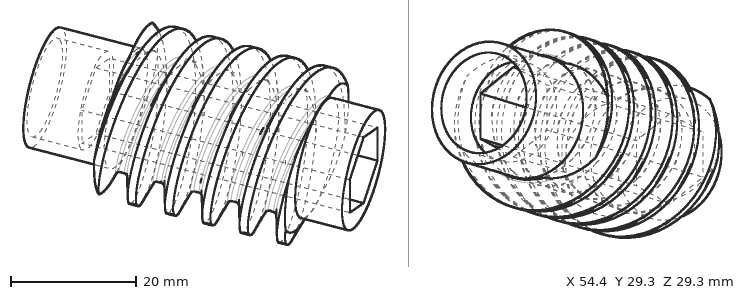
import cadquery as cq
import math

total_length = 54.35
shaft_radius = 9.95
bore_radius = 8.15
bore_depth = 8.7
hex_across_flats = 12.7

thread_start = 13.8
thread_length = 32.55
thread_diameter = 29.3
thread_radius = thread_diameter / 2
root_radius = 10.1
thread_pitch = 6.35
thread_starts = 2
crest_width = 1.4
crest_position = 30.15
flank_angle = 20.0
root_fillet = 0.55
curve_steps = 8

flank_slope = math.tan(math.radians(flank_angle))
lead = thread_starts * thread_pitch
hex_across_corners = hex_across_flats / math.cos(math.radians(30))


def x_cylinder(radius, start, length):
    return cq.Workplane("YZ", origin=(start, 0, 0)).circle(radius).extrude(length)


def on_section(radius, axial_offset):
    """Point of the cross-section that lies axial_offset along the helix from a groove centre."""
    angle = 2 * math.pi * axial_offset / lead
    return (radius * math.cos(angle), radius * math.sin(angle))


def thread_section():
    """Cross-section of the thread, with its first groove centred on the local X axis."""
    crest_gap = (thread_pitch - crest_width) / 2
    root_half = crest_gap - (thread_radius - root_radius) * flank_slope

    turn = math.radians(90 - flank_angle)
    flat_half = root_half - root_fillet * math.tan(turn / 2)
    flank_half = flat_half + root_fillet * math.sin(turn)
    flank_radius = root_radius + root_fillet * (1 - math.cos(turn))

    def fillet(t):
        offset = flat_half + root_fillet * math.sin(t * turn)
        return on_section(root_radius + root_fillet * (1 - math.cos(t * turn)), offset)

    def flank(t):
        radius = flank_radius + t * (thread_radius - flank_radius)
        return on_section(radius, flank_half + t * (crest_gap - flank_half))

    def edge(curve, side, groove_angle):
        """Spline edge on one side (+1 or -1) of a groove."""
        points = []
        for step in range(curve_steps + 1):
            x, y = curve(step / curve_steps)
            points.append(cq.Vector(x, side * y))
        return cq.Edge.makeSpline(points).rotate(cq.Vector(), cq.Vector(0, 0, 1), groove_angle)

    def arc(radius, first, middle, last, groove_angle):
        points = [cq.Vector(*on_section(radius, offset)) for offset in (first, middle, last)]
        return cq.Edge.makeThreePointArc(*points).rotate(cq.Vector(), cq.Vector(0, 0, 1), groove_angle)

    edges = []
    for start in range(thread_starts):
        groove_angle = start * 360 / thread_starts
        edges.append(arc(root_radius, -flat_half, 0, flat_half, groove_angle))
        for side in (-1, 1):
            edges.append(edge(fillet, side, groove_angle))
            edges.append(edge(flank, side, groove_angle))
        crest_end = thread_pitch - crest_gap
        edges.append(arc(thread_radius, crest_gap, thread_pitch / 2, crest_end, groove_angle))
    return cq.Wire.combine(edges)[0]


def worm_thread():
    twist = -360 * thread_length / lead
    thread = cq.Solid.extrudeLinearWithRotation(
        thread_section(), [], cq.Vector(), cq.Vector(0, 0, thread_length), twist
    )
    turn_to_crest = 360 * (crest_position - thread_start) / lead
    thread = cq.Workplane(obj=thread).rotate((0, 0, 0), (0, 0, 1), turn_to_crest)
    thread = thread.rotate((0, 0, 0), (1, 1, 1), 120)
    return thread.translate((thread_start, 0, 0))


def hex_hole():
    return (
        cq.Workplane("YZ")
        .transformed(rotate=(0, 0, 90))
        .polygon(6, hex_across_corners)
        .extrude(total_length)
    )


shaft = x_cylinder(shaft_radius, 0, total_length)
bore = x_cylinder(bore_radius, 0, bore_depth)
result = worm_thread().union(shaft).cut(bore).cut(hex_hole())